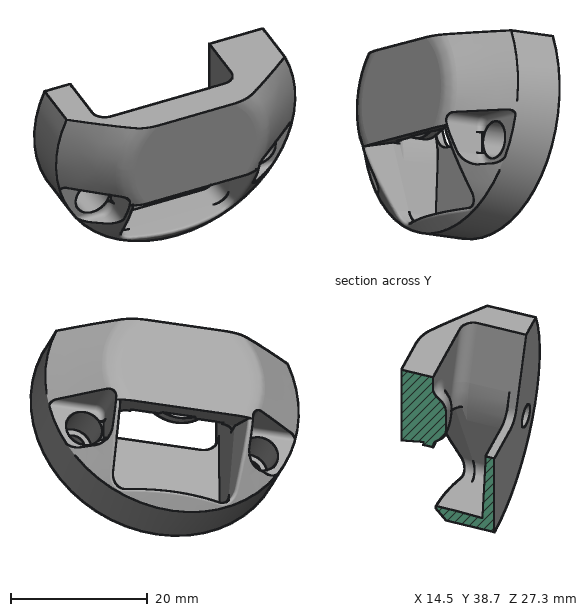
import cadquery as cq
import math

OUTER_RADIUS = 19.35
TOP_Z = 7.95
RIM_X = 7.55
CONE_END_X = 13.55
BACK_X = 14.5
BACK_CORNER_RADIUS = 11.35
BACK_ROUND = 4.0

WALL_Y = 8.98
SLOPE_TOP_Y = -13.5
SLOPE_ANGLE = 20.8
SLOPE_BEND_RADIUS = 17.8
CAVITY_BACK_X = 9.55
CAVITY_ROUND = 1.993
LIP_X = 1.4
LIP_Z = -4.95
LIP_ROUND = 2.75
UPPER_BOTTOM_Z = -8.5
FLOOR_Z = -16.9
LEAN_ANGLE = 2.5

WINDOW_X = 6.0
WINDOW_FLARE = 9.5
WINDOW_DEPTH = 11.6
ROOF_Z = -4.85
ROOF_ANGLE = 12.0
ROOF_ROUND = 1.0
WINDOW_EDGE_ROUND = 0.4

DOME_TOP_X = 7.5
DOME_TOP_RADIUS = 1.75
DOME_RING_RADIUS = 4.15
DOME_BASE_RADIUS = 5.73
DOME_ROOT = 1.55

HOLE_Y = 13.43
HOLE_Z = -7.75
HOLE_DIAMETER = 3.5
COUNTERBORE_DIAMETER = 5.5
COUNTERBORE_X = 2.0
RECESS_HALF_HEIGHT = 3.735
RECESS_INNER_Y = 10.45
RECESS_UPPER_ROUND = 1.35
RECESS_LOWER_ROUND = 1.993
RECESS_FLOOR_ROUND = 0.93
RELIEF_HALF_HEIGHT = 1.55

MARGIN = 3.87
TOLERANCE = 0.05

ABOVE_Z = TOP_Z + MARGIN
WINDOW_LEAN = (CAVITY_BACK_X - WINDOW_X) / (ROOF_Z - FLOOR_Z)


def tan(angle):
    return math.tan(math.radians(angle))


def slope_y(z):
    """Y of the sloping side wall at height z."""
    return SLOPE_TOP_Y + (TOP_Z - z) * tan(SLOPE_ANGLE)


def pit_front_x(z):
    """X of the leaning wall behind the lip at height z."""
    return LIP_X + (LIP_Z - z) * tan(LEAN_ANGLE)


def window_start_x(z):
    """X of the slanting plane where the window begins, at height z."""
    return WINDOW_X + (z - FLOOR_Z) * WINDOW_LEAN


def cone_radius(x):
    return OUTER_RADIUS - (x - RIM_X) * (OUTER_RADIUS - BACK_CORNER_RADIUS) / (BACK_X - RIM_X)


def box(x_range, y_range, z_range):
    sizes = [end - start for start, end in (x_range, y_range, z_range)]
    return cq.Workplane("XY").box(*sizes, centered=False).translate((x_range[0], y_range[0], z_range[0]))


def round_corner(prism, corner, radius):
    """Rounds the edge of a prism along X that passes the (y, z) corner."""
    def at_corner(edge):
        middle = edge.Center()
        return math.hypot(middle.y - corner[0], middle.z - corner[1]) < TOLERANCE

    return prism.edges("|X").filter(at_corner).fillet(radius)


def round_floor_sides(cutter):
    """Rounds the edges where the floor of a cutter meets its side walls."""
    def at_floor_side(edge):
        middle = edge.Center()
        return middle.z < FLOOR_Z + TOLERANCE and abs(middle.y) > WALL_Y - TOLERANCE

    return cutter.edges().filter(at_floor_side).fillet(CAVITY_ROUND)


def make_blank():
    blank = (
        cq.Workplane("XY")
        .lineTo(0, OUTER_RADIUS)
        .lineTo(RIM_X, OUTER_RADIUS)
        .lineTo(BACK_X, BACK_CORNER_RADIUS)
        .lineTo(BACK_X, 0)
        .close()
        .revolve(360, (0, 0, 0), (1, 0, 0))
        .faces(">X")
        .edges()
        .fillet(BACK_ROUND)
    )
    across = (-OUTER_RADIUS - MARGIN, OUTER_RADIUS + MARGIN)
    return blank.cut(box((-MARGIN, BACK_X + MARGIN), across, (TOP_Z, OUTER_RADIUS + MARGIN)))


def make_lip_opening():
    """Opening in the front face; it runs on into the wider cavity behind the lip."""
    corners = [(WALL_Y, LIP_Z), (slope_y(LIP_Z), LIP_Z)]
    opening = (
        cq.Workplane("YZ")
        .polyline([(WALL_Y, ABOVE_Z), *corners, (slope_y(ABOVE_Z), ABOVE_Z)])
        .close()
        .extrude(WINDOW_X)
    )
    for corner in corners:
        opening = round_corner(opening, corner, LIP_ROUND)
    return opening


def make_upper_cavity():
    below_z = FLOOR_Z - MARGIN
    bend = (-WALL_Y, TOP_Z + (SLOPE_TOP_Y + WALL_Y) / tan(SLOPE_ANGLE))
    cavity = (
        cq.Workplane("YZ", origin=(LIP_X, 0, 0))
        .polyline([
            (WALL_Y, ABOVE_Z),
            (WALL_Y, below_z),
            (-WALL_Y, below_z),
            bend,
            (slope_y(ABOVE_Z), ABOVE_Z),
        ])
        .close()
        .extrude(CAVITY_BACK_X - LIP_X)
    )
    cavity = round_corner(cavity, bend, SLOPE_BEND_RADIUS)
    cavity = cavity.faces(">X").edges("not |Y").fillet(CAVITY_ROUND)
    side_outline = (
        cq.Workplane("XZ", origin=(0, OUTER_RADIUS, 0))
        .polyline([
            (LIP_X, ABOVE_Z),
            (LIP_X, LIP_Z),
            (pit_front_x(UPPER_BOTTOM_Z), UPPER_BOTTOM_Z),
            (window_start_x(UPPER_BOTTOM_Z), UPPER_BOTTOM_Z),
            (CAVITY_BACK_X, ROOF_Z),
            (CAVITY_BACK_X, ABOVE_Z),
        ])
        .close()
        .extrude(2 * OUTER_RADIUS)
    )
    return cavity.intersect(side_outline)


def make_pit():
    """Lower part of the cavity, behind the lip and in front of the window."""
    front_x = pit_front_x(FLOOR_Z)
    front_z = FLOOR_Z - (WINDOW_X - front_x) * tan(LEAN_ANGLE)
    pit = (
        cq.Workplane("XZ", origin=(0, WALL_Y, 0))
        .polyline([(LIP_X, LIP_Z), (front_x, front_z), (WINDOW_X, FLOOR_Z), (CAVITY_BACK_X, ROOF_Z)])
        .close()
        .extrude(2 * WALL_Y)
    )
    return round_floor_sides(pit)


def make_window():
    """Flaring block with flat faces between two four-sided sections."""
    roof_drop = tan(ROOF_ANGLE) / (1 + WINDOW_LEAN * tan(ROOF_ANGLE))

    def section(depth):
        half_width = WALL_Y + depth * tan(WINDOW_FLARE)
        roof_z = ROOF_Z - depth * roof_drop
        floor_x = window_start_x(FLOOR_Z) + depth
        roof_x = window_start_x(roof_z) + depth
        return [
            cq.Vector(floor_x, -half_width, FLOOR_Z),
            cq.Vector(floor_x, half_width, FLOOR_Z),
            cq.Vector(roof_x, half_width, roof_z),
            cq.Vector(roof_x, -half_width, roof_z),
        ]

    inner = section(0)
    outer = section(WINDOW_DEPTH)
    loops = [inner, outer]
    for i in range(len(inner)):
        following = (i + 1) % len(inner)
        loops.append([inner[i], inner[following], outer[following], outer[i]])
    faces = [cq.Face.makeFromWires(cq.Wire.makePolygon(loop, close=True)) for loop in loops]
    window = cq.Workplane(cq.Solid.makeSolid(cq.Shell.makeShell(faces)))
    return round_floor_sides(window)


def round_window_rim(body):
    """Rounds the edges where the window comes out through the cone."""
    def on_cone(edge):
        middle = edge.positionAt(0.5)
        off_cone = abs(math.hypot(middle.y, middle.z) - cone_radius(middle.x))
        within_cone = RIM_X + TOLERANCE < middle.x < CONE_END_X
        return within_cone and middle.z < ROOF_Z and off_cone < TOLERANCE

    return body.edges().filter(on_cone).fillet(WINDOW_EDGE_ROUND)


def make_roof_round():
    """Sliver removed from the lower edge of the back wall to leave it rounded."""
    roof = math.radians(ROOF_ANGLE)
    half_turn = (math.pi / 2 - roof) / 2
    reach = ROOF_ROUND * math.tan(half_turn)
    center_x = CAVITY_BACK_X + ROOF_ROUND
    center_z = ROOF_Z + reach
    arc_middle = (
        center_x - ROOF_ROUND * math.cos(half_turn),
        center_z - ROOF_ROUND * math.sin(half_turn),
    )
    roof_end = (CAVITY_BACK_X + reach * math.cos(roof), ROOF_Z - reach * math.sin(roof))
    half_length = WALL_Y - CAVITY_ROUND
    return (
        cq.Workplane("XZ", origin=(0, half_length, 0))
        .moveTo(CAVITY_BACK_X, center_z)
        .threePointArc(arc_middle, roof_end)
        .lineTo(CAVITY_BACK_X, ROOF_Z)
        .close()
        .extrude(2 * half_length)
    )


def make_dome():
    height = CAVITY_BACK_X - DOME_TOP_X
    turn = 2 * math.atan(height / (DOME_BASE_RADIUS - DOME_TOP_RADIUS))
    crown_radius = (DOME_RING_RADIUS - DOME_TOP_RADIUS) / math.sin(turn)
    ring_x = DOME_TOP_X + crown_radius * (1 - math.cos(turn))
    root_x = CAVITY_BACK_X + DOME_ROOT
    return (
        cq.Workplane("XY")
        .moveTo(DOME_TOP_X, 0)
        .lineTo(DOME_TOP_X, DOME_TOP_RADIUS)
        .tangentArcPoint((ring_x, DOME_RING_RADIUS), relative=False)
        .tangentArcPoint((CAVITY_BACK_X, DOME_BASE_RADIUS), relative=False)
        .lineTo(root_x, DOME_BASE_RADIUS)
        .lineTo(root_x, 0)
        .close()
        .revolve(360, (0, 0, 0), (1, 0, 0))
    )


def make_screw_cut():
    def bore(x, diameter):
        return cq.Workplane("YZ", origin=(x, HOLE_Y, HOLE_Z)).circle(diameter / 2).extrude(BACK_X - x)

    def side_cut(half_height):
        return box(
            (RIM_X, BACK_X + MARGIN),
            (RECESS_INNER_Y, OUTER_RADIUS + MARGIN),
            (HOLE_Z - half_height, HOLE_Z + half_height),
        )

    recess = side_cut(RECESS_HALF_HEIGHT)
    recess = recess.edges("|X and <Y and >Z").fillet(RECESS_UPPER_ROUND)
    recess = recess.edges("|X and <Y and <Z").fillet(RECESS_LOWER_ROUND)
    recess = recess.faces("<X").edges("not >Y").fillet(RECESS_FLOOR_ROUND)
    relief = side_cut(RELIEF_HALF_HEIGHT)
    hole = bore(0, HOLE_DIAMETER)
    counterbore = bore(COUNTERBORE_X, COUNTERBORE_DIAMETER)
    return recess.union(relief).union(hole).union(counterbore)


def make_housing():
    housing = make_blank().cut(make_pit().union(make_window()))
    housing = round_window_rim(housing)
    housing = housing.cut(make_upper_cavity()).cut(make_roof_round()).cut(make_lip_opening())
    housing = housing.union(make_dome())
    screw_cut = make_screw_cut()
    return housing.cut(screw_cut).cut(screw_cut.mirror("XZ"))


housing = make_housing()
result = cq.Compound.makeCompound([housing.val()])